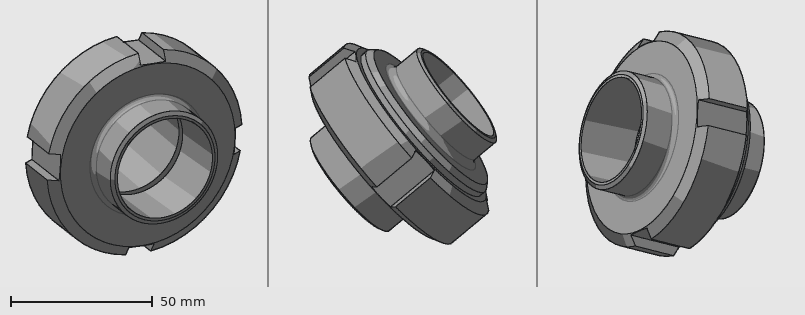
import cadquery as cq

length = 51.5
flange_start = 12.9
flange_chamfer_end = 15.1
nut_start = 17.35
nut_width = 21.2
nut_end = nut_start + nut_width

bore_diameter = 38.0
pipe_diameter = 43.0
end_chamfer_length = 0.8
end_chamfer_depth = 1.5
left_fillet = 2.6
right_fillet = 1.6

groove_start = 26.2
groove_width = 2.7
groove_diameter = 49.0

flange_diameter = 65.0
flange_face_diameter = 61.2

nut_diameter = 78.0
nut_face_diameter = 69.75
nut_chamfer_length = 2.4
slot_count = 4
slot_width = 10.05
slot_floor_radius = 35.0
slot_tilt = -3.8


def make_revolved_body():
    """Pipe ends, flange and nut as one profile turned about the X axis."""
    bore = bore_diameter / 2
    pipe = pipe_diameter / 2
    pipe_tip = pipe - end_chamfer_depth
    flange = flange_diameter / 2
    nut = nut_diameter / 2
    nut_face = nut_face_diameter / 2
    profile = (
        cq.Workplane("XY")
        .moveTo(0, bore)
        .lineTo(0, pipe_tip)
        .lineTo(end_chamfer_length, pipe)
        .lineTo(flange_start - left_fillet, pipe)
        .radiusArc((flange_start, pipe + left_fillet), -left_fillet)
        .lineTo(flange_start, flange_face_diameter / 2)
        .lineTo(flange_chamfer_end, flange)
        .lineTo(nut_start, flange)
        .lineTo(nut_start, nut_face)
        .lineTo(nut_start + nut_chamfer_length, nut)
        .lineTo(nut_end - nut_chamfer_length, nut)
        .lineTo(nut_end, nut_face)
        .lineTo(nut_end, pipe + right_fillet)
        .radiusArc((nut_end + right_fillet, pipe), -right_fillet)
        .lineTo(length - end_chamfer_length, pipe)
        .lineTo(length, pipe_tip)
        .lineTo(length, bore)
        .close()
    )
    return profile.revolve(360, (0, 0, 0), (1, 0, 0))


def make_bore_groove():
    """Disc that opens the ring groove in the wall of the bore."""
    return (
        cq.Workplane("YZ", origin=(groove_start, 0, 0))
        .circle(groove_diameter / 2)
        .extrude(groove_width)
    )


def make_slot_cutter(angle):
    """Block that cuts one wrench slot across the full width of the nut rim."""
    cutter_height = nut_diameter / 2
    return (
        cq.Workplane("XY")
        .box(nut_width, slot_width, cutter_height, centered=(False, True, False))
        .translate((nut_start, 0, slot_floor_radius))
        .rotate((0, 0, 0), (1, 0, 0), angle)
    )


body = make_revolved_body().cut(make_bore_groove())
for index in range(slot_count):
    body = body.cut(make_slot_cutter(slot_tilt + index * 360 / slot_count))

result = body.translate((-length / 2, 0, 0))